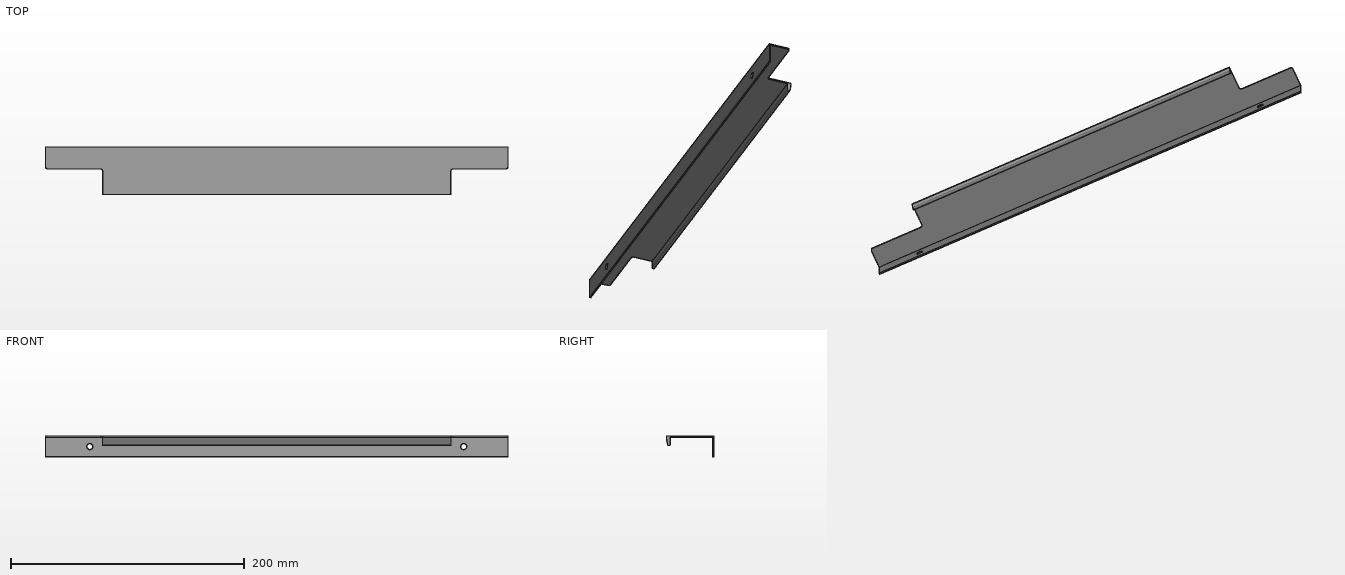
import cadquery as cq

length = 396.0
depth = 41.0
height = 18.0
sheet_thickness = 1.3

end_tab_length = 49.0
end_tab_depth = 19.0
notch_radius = 2.0
tab_corner_radius = 2.0
tongue_length = length - 2 * end_tab_length

lip_height = 8.5
lip_top_thickness = 3.4
lip_bottom_thickness = 2.4
lip_bulge = 0.25
lip_tip_radius = lip_bottom_thickness / 2

hole_diameter = 5.0
hole_spacing = 320.0
hole_drop = 9.3


def make_top_plate():
    """T-shaped plate with rounded notch corners and tab corners."""
    tabs = (
        cq.Workplane("XY")
        .box(length, end_tab_depth, sheet_thickness, centered=(True, False, False))
        .translate((0, -end_tab_depth, -sheet_thickness))
        .edges("|Z and <Y")
        .fillet(tab_corner_radius)
    )
    tongue = (
        cq.Workplane("XY")
        .box(tongue_length, depth, sheet_thickness, centered=(True, False, False))
        .translate((0, -depth, -sheet_thickness))
    )
    notch_x = tongue_length / 2
    plate = tabs.union(tongue)
    for corner_x in (-notch_x, notch_x):
        corner = cq.selectors.NearestToPointSelector((corner_x, -end_tab_depth, -sheet_thickness / 2))
        plate = plate.edges("|Z").edges(corner).fillet(notch_radius)
    return plate


def make_rear_flange():
    """Full-length flange hanging from the back edge, with its two screw holes."""
    flange = (
        cq.Workplane("XY")
        .box(length, sheet_thickness, height, centered=(True, False, False))
        .translate((0, -sheet_thickness, -height))
    )
    holes = (
        cq.Workplane("XZ")
        .pushPoints([(-hole_spacing / 2, -hole_drop), (hole_spacing / 2, -hole_drop)])
        .circle(hole_diameter / 2)
        .extrude(sheet_thickness)
    )
    return flange.cut(holes)


def make_grip_lip():
    """Lip with a flat inner face and a bowed front face that leans in to a rounded tip."""
    inner_y = -depth + lip_top_thickness
    tip_y = inner_y - lip_bottom_thickness
    tip_start_z = lip_tip_radius - lip_height
    bow_middle = ((tip_y - depth) / 2 - lip_bulge, tip_start_z / 2)
    tip_middle = (tip_y + lip_tip_radius, -lip_height)
    return (
        cq.Workplane("YZ")
        .moveTo(inner_y, 0)
        .lineTo(-depth, 0)
        .threePointArc(bow_middle, (tip_y, tip_start_z))
        .threePointArc(tip_middle, (inner_y, tip_start_z))
        .close()
        .extrude(tongue_length / 2, both=True)
    )


result = make_top_plate().union(make_rear_flange()).union(make_grip_lip())